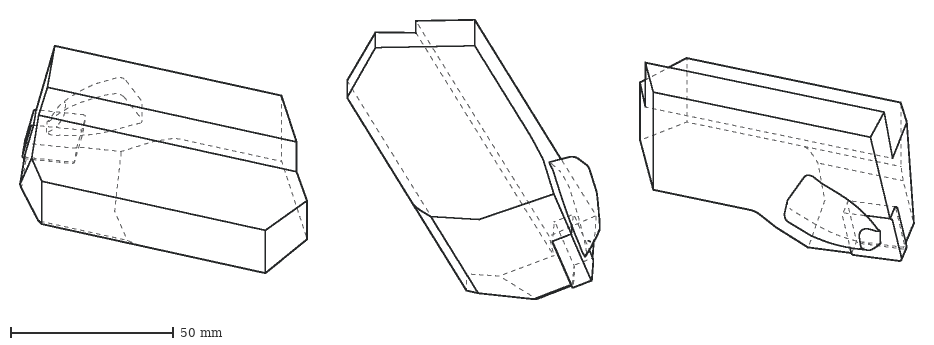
import cadquery as cq
import math

LENGTH = 95.4
FRONT_RIGHT_X = 86.3
FRONT_LEFT_X = 15.1
BACK_Y = 42.2
TIP_ANGLE = 30.0
LEFT_BEVEL_ANGLE = 33.2

HEIGHT = 46.0
LEDGE_Y = 26.4
LEDGE_FRONT_Z = 33.9
LEDGE_BACK_Z = 30.1
SHANK_BOTTOM_Z = 11.1
EDGE_BEVEL_Y = 3.1
EDGE_BEVEL_Z = 8.1
UNDERSIDE_ANGLE = 20.1

HEAD_END_X = 29.7
HEAD_END_Z = 0.8
HEAD_RISE_ANGLE = 32.0
HEAD_BLEND_RADIUS = 6.2

CORNER = (-0.2, 35.9, 0.0)
RAKE_SLOPE_X = 0.14
RAKE_SLOPE_Z = 0.113

INSERT_EDGE = 16.1
INSERT_ANGLE = 80.0
INSERT_THICKNESS = 6.4
INSERT_NOSE_RADIUS = 1.0
INSERT_OVERHANG = 0.7
HEAD_CORNER_CHAMFER = 0.6

CLAMP_TAIL = (33.4, 22.2)
CLAMP_ANGLE = 30.0
CLAMP_DRAFT = 5.0
CLAMP_HEIGHT = 8.6
CLAMP_ROOT = 1.0
CLAMP_HALF_WIDTH = 7.6
CLAMP_STRAIGHT = 11.3
CLAMP_NOSE_RADIUS = 3.4
CLAMP_NOSE_CENTER = 27.95
CLAMP_EDGE_RADIUS = 3.15
CLAMP_CORNER_RADIUS = 2.4
CLAMP_SLOPE = 10.0
CLAMP_TOE_X = 6.8
CLAMP_TOE_LEAN = 38.0

UPWARD = 0.9
REACH = 190.8


def tan(angle):
    return math.tan(math.radians(angle))


def polar(length, angle):
    return (length * math.cos(math.radians(angle)), length * math.sin(math.radians(angle)))


rake = cq.Plane(
    origin=CORNER,
    xDir=(1, RAKE_SLOPE_X, 0),
    normal=(RAKE_SLOPE_X, -1, RAKE_SLOPE_Z),
)


def make_shank():
    underside_drop = (BACK_Y - EDGE_BEVEL_Y) * tan(UNDERSIDE_ANGLE)
    section = [
        (0, SHANK_BOTTOM_Z),
        (0, LEDGE_FRONT_Z),
        (LEDGE_Y, LEDGE_BACK_Z),
        (LEDGE_Y, HEIGHT),
        (BACK_Y, HEIGHT),
        (BACK_Y, EDGE_BEVEL_Z - underside_drop),
        (EDGE_BEVEL_Y, EDGE_BEVEL_Z),
    ]
    bar = cq.Workplane("YZ").polyline(section).close().extrude(REACH, both=True)

    tip_y = (LENGTH - FRONT_RIGHT_X) / tan(TIP_ANGLE)
    outline = [
        (FRONT_LEFT_X, 0),
        (FRONT_RIGHT_X, 0),
        (LENGTH, tip_y),
        (LENGTH - (BACK_Y - tip_y) * tan(TIP_ANGLE), BACK_Y),
        (FRONT_LEFT_X - BACK_Y * tan(LEFT_BEVEL_ANGLE), BACK_Y),
    ]
    return bar.intersect(cq.Workplane("XY").polyline(outline).close().extrude(REACH, both=True))


def underside_cutter():
    """Space below the shank, to the right of the head."""
    slope = tan(HEAD_RISE_ANGLE)
    bend_x = HEAD_END_X + (SHANK_BOTTOM_Z - HEAD_END_Z) / slope
    outline = [
        (bend_x, SHANK_BOTTOM_Z),
        (REACH, SHANK_BOTTOM_Z),
        (REACH, SHANK_BOTTOM_Z - REACH),
        (bend_x - REACH / slope, SHANK_BOTTOM_Z - REACH),
    ]
    cutter = cq.Workplane("XZ").polyline(outline).close().extrude(REACH, both=True)
    bend = cq.selectors.NearestToPointSelector((bend_x, 0, SHANK_BOTTOM_Z))
    return cutter.edges("|Y").edges(bend).fillet(HEAD_BLEND_RADIUS)


def head_flanks():
    """Wedge whose left and lower faces run parallel to the insert's flanks, set back from them."""
    setback_x = INSERT_OVERHANG / tan(INSERT_ANGLE / 2)
    corner = (setback_x, INSERT_OVERHANG)
    lean_x, lean_y = polar(1, INSERT_ANGLE)

    def on_left_face(distance):
        return (corner[0] + distance * lean_x, corner[1] + distance * lean_y)

    outline = [
        on_left_face(HEAD_CORNER_CHAMFER),
        (corner[0] + HEAD_CORNER_CHAMFER, corner[1]),
        (REACH, corner[1]),
        (REACH, REACH * lean_y),
        on_left_face(REACH),
    ]
    return cq.Workplane(rake).polyline(outline).close().extrude(REACH)


def make_insert():
    lean_x, lean_y = polar(INSERT_EDGE, INSERT_ANGLE)
    outline = [(0, 0), (INSERT_EDGE, 0), (INSERT_EDGE + lean_x, lean_y), (lean_x, lean_y)]
    plate = cq.Workplane(rake).polyline(outline).close().extrude(INSERT_THICKNESS)
    flank_edges = plate.edges(cq.selectors.ParallelDirSelector(rake.zDir))
    return flank_edges.fillet(INSERT_NOSE_RADIUS)


def clamp_plane(height):
    """Plane across the clamp: x runs from tail to nose, z points away from the holder."""
    axis_x, axis_y = polar(1, CLAMP_ANGLE)
    toward_nose = rake.toWorldCoords((-axis_x, -axis_y, 0)) - rake.origin
    return cq.Plane(rake.toWorldCoords((*CLAMP_TAIL, -height)), toward_nose, -rake.zDir)


def round_tail_corners(block, plane):
    tail_face = cq.selectors.DirectionMinMaxSelector(plane.xDir, False)
    level_edges = cq.selectors.PerpendicularDirSelector(plane.zDir)
    upright_edges = cq.selectors.InverseSelector(level_edges)
    return block.faces(tail_face).edges(upright_edges).fillet(CLAMP_CORNER_RADIUS)


def clamp_plan():
    """Drafted boss with rounded tail corners that narrows to a rounded nose."""
    plane = clamp_plane(-CLAMP_ROOT)
    boss = (
        cq.Workplane(plane)
        .moveTo(0, 0)
        .lineTo(0, CLAMP_HALF_WIDTH)
        .lineTo(CLAMP_STRAIGHT, CLAMP_HALF_WIDTH)
        .tangentArcPoint((CLAMP_NOSE_CENTER, CLAMP_NOSE_RADIUS), relative=False)
        .radiusArc((CLAMP_NOSE_CENTER + CLAMP_NOSE_RADIUS, 0), CLAMP_NOSE_RADIUS)
        .mirrorX()
        .extrude(CLAMP_ROOT + CLAMP_HEIGHT, taper=CLAMP_DRAFT)
    )
    return round_tail_corners(boss, plane)


def clamp_slope_cutter():
    """Space above the slope that falls from the clamp's top toward its nose."""
    plane = clamp_plane(0)
    outline = [
        (CLAMP_STRAIGHT, CLAMP_HEIGHT),
        (REACH, CLAMP_HEIGHT - (REACH - CLAMP_STRAIGHT) * tan(CLAMP_SLOPE)),
        (REACH, CLAMP_HEIGHT),
    ]
    side_plane = cq.Plane(plane.origin, plane.xDir, -plane.yDir)
    return cq.Workplane(side_plane).polyline(outline).close().extrude(REACH, both=True)


def clamp_toe_cutter():
    """Space to the left of the leaning facet at the end of the nose."""
    side_plane = cq.Plane(rake.origin, rake.xDir, rake.yDir)
    lean = tan(CLAMP_TOE_LEAN)
    outline = [
        (CLAMP_TOE_X - CLAMP_ROOT * lean, -CLAMP_ROOT),
        (CLAMP_TOE_X + CLAMP_HEIGHT * lean, CLAMP_HEIGHT),
        (-REACH, CLAMP_HEIGHT),
        (-REACH, -CLAMP_ROOT),
    ]
    return cq.Workplane(side_plane).polyline(outline).close().extrude(REACH, both=True)


def round_top_edges(boss):
    """Round the rim of the level top and of its slope, but not the crease between the two."""
    plane = clamp_plane(0)

    def place_on_clamp(edge):
        return tuple(round(value, 2) for value in plane.toLocalCoords(edge.Center()).toTuple())

    crease = cq.selectors.NearestToPointSelector(plane.toWorldCoords((CLAMP_STRAIGHT, 0, CLAMP_HEIGHT)))
    upward_faces = [face for face in boss.faces("%PLANE").vals() if face.normalAt().dot(plane.zDir) > UPWARD]
    rim = boss.newObject(upward_faces).edges().edges(cq.selectors.InverseSelector(crease))
    nose_to_tail = sorted(rim.vals(), key=place_on_clamp, reverse=True)
    return boss.newObject(nose_to_tail).fillet(CLAMP_EDGE_RADIUS)


def make_clamp():
    boss = clamp_plan().cut(clamp_slope_cutter())
    return round_top_edges(boss).cut(clamp_toe_cutter())


def make_holder(insert):
    body = make_shank().cut(underside_cutter()).intersect(head_flanks())
    return body.union(make_clamp()).cut(insert)


insert = make_insert()
holder = make_holder(insert)
result = cq.Compound.makeCompound([holder.solids().val(), insert.solids().val()])